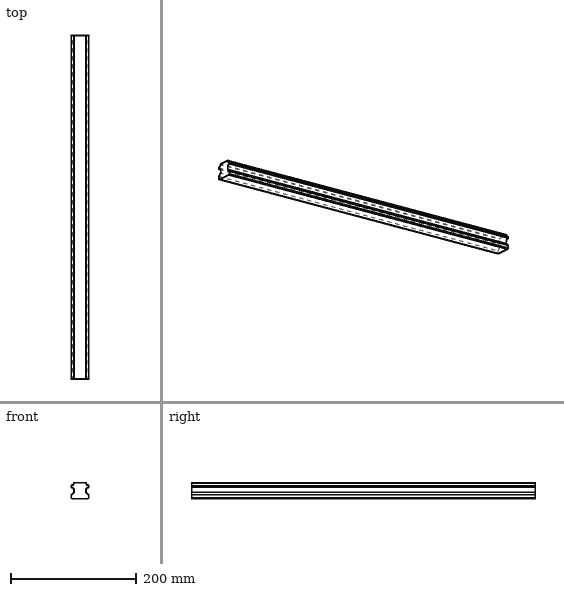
import cadquery as cq

length = 550.0
width = 28.0
height = 26.0

top_width = 18.5
neck_width = 19.0

lip_top = 21.0
lip_bottom = 18.5
neck_top = 14.0
neck_bottom = 10.5
base_top = 6.0

base_chamfer = 1.4
top_chamfer = 0.8
lip_break_width = 1.5
lip_break_height = 1.0

upper_groove_sag = 0.65
lower_groove_sag = 0.8

half_width = width / 2
half_top = top_width / 2
half_neck = neck_width / 2
lip_inner = half_width - lip_break_width


def rail_half():
    """Right half of the rail, centred on the origin in Y and Z."""
    return (
        cq.Workplane("XZ", origin=(0, length / 2, -height / 2))
        .moveTo(0, 0)
        .lineTo(half_width - base_chamfer, 0)
        .lineTo(half_width, base_chamfer)
        .lineTo(half_width, base_top)
        .lineTo(half_neck, neck_bottom)
        .lineTo(half_neck, neck_top)
        .sagittaArc((lip_inner, lip_bottom - lip_break_height), lower_groove_sag)
        .lineTo(half_width, lip_bottom)
        .lineTo(half_width, lip_top)
        .lineTo(lip_inner, lip_top + lip_break_height)
        .sagittaArc((half_top + top_chamfer, height - top_chamfer), upper_groove_sag)
        .lineTo(half_top, height)
        .lineTo(0, height)
        .close()
        .extrude(length)
    )


right_half = rail_half()
left_half = right_half.mirror("YZ")
result = right_half.union(left_half).clean()